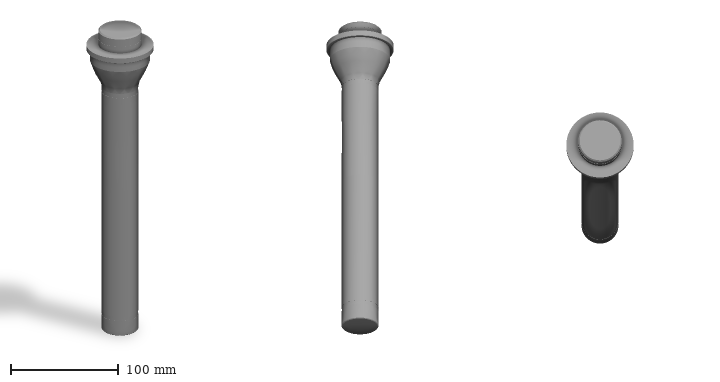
import cadquery as cq

HEIGHT = 308.0
KNOB_RADIUS = 40.0 / 2
KNOB_GROOVE_RADIUS = 39.7 / 2
FLANGE_RADIUS = 62.5 / 2
HEAD_RADIUS = 56.0 / 2
TUBE_RADIUS = 34.2 / 2
WAIST_RADIUS = 34.0 / 2

FOOT_GROOVE_BOTTOM = 16.0
FOOT_GROOVE_TOP = 20.0
GRIP_BOTTOM = 150.0
NECK_GROOVE_BOTTOM = 245.0
NECK_GROOVE_TOP = 249.5
BELL_MIDDLE = 258.7
BELL_TOP = 277.2
FLANGE_BOTTOM = 287.5
FLANGE_TOP = 292.5
KNOB_GROOVE_BOTTOM = 299.0
KNOB_GROOVE_TOP = 301.8

BELL_MID_RADIUS = 20.3
BELL_RIM_SLOPE = 0.25
FOOT_CHAMFER = 0.5
FOOT_DOME_RISE = 1.0
KNOB_CHAMFER = 1.2
FLANGE_CHAMFER = 0.3


def ring_groove(outer_radius, floor_radius, bottom, top):
    """Ring of material to remove for a shallow groove around the axis."""
    ring = cq.Workplane("XY").workplane(offset=bottom)
    return ring.circle(outer_radius).circle(floor_radius).extrude(top - bottom)


def make_housing():
    """Tube with a waisted grip, flaring through a curved bell into the head."""
    rim_radius = TUBE_RADIUS - FOOT_CHAMFER
    dome_radius = (rim_radius**2 + FOOT_DOME_RISE**2) / (2 * FOOT_DOME_RISE)
    grip_middle = (GRIP_BOTTOM + NECK_GROOVE_BOTTOM) / 2
    body = (
        cq.Workplane("XZ")
        .moveTo(0, 0)
        .radiusArc((rim_radius, FOOT_DOME_RISE), -dome_radius)
        .lineTo(TUBE_RADIUS, FOOT_DOME_RISE + FOOT_CHAMFER)
        .lineTo(TUBE_RADIUS, GRIP_BOTTOM)
        .threePointArc((WAIST_RADIUS, grip_middle), (TUBE_RADIUS, NECK_GROOVE_BOTTOM))
        .lineTo(TUBE_RADIUS, NECK_GROOVE_TOP)
        .spline(
            [(BELL_MID_RADIUS, BELL_MIDDLE), (HEAD_RADIUS, BELL_TOP)],
            tangents=[(0, 1), (BELL_RIM_SLOPE, 1)],
            includeCurrent=True,
        )
        .lineTo(HEAD_RADIUS, FLANGE_BOTTOM)
        .lineTo(0, FLANGE_BOTTOM)
        .close()
        .revolve(360, (0, 0, 0), (0, 1, 0))
    )
    for bottom, top in (
        (FOOT_GROOVE_BOTTOM, FOOT_GROOVE_TOP),
        (NECK_GROOVE_BOTTOM, NECK_GROOVE_TOP),
    ):
        body = body.cut(ring_groove(TUBE_RADIUS, WAIST_RADIUS, bottom, top))
    return body


def make_cap():
    """Flange seated on the head, carrying a grooved round knob."""
    flange = (
        cq.Workplane("XY")
        .workplane(offset=FLANGE_BOTTOM)
        .circle(FLANGE_RADIUS)
        .extrude(FLANGE_TOP - FLANGE_BOTTOM)
        .faces("<Z")
        .chamfer(FLANGE_CHAMFER)
    )
    knob = (
        cq.Workplane("XY")
        .workplane(offset=FLANGE_TOP)
        .circle(KNOB_RADIUS)
        .extrude(HEIGHT - FLANGE_TOP)
        .faces(">Z")
        .edges()
        .chamfer(KNOB_CHAMFER)
    )
    groove = ring_groove(KNOB_RADIUS, KNOB_GROOVE_RADIUS, KNOB_GROOVE_BOTTOM, KNOB_GROOVE_TOP)
    return flange.union(knob).cut(groove)


housing = make_housing()
cap = make_cap()

result = cq.Compound.makeCompound([housing.val(), cap.val()])